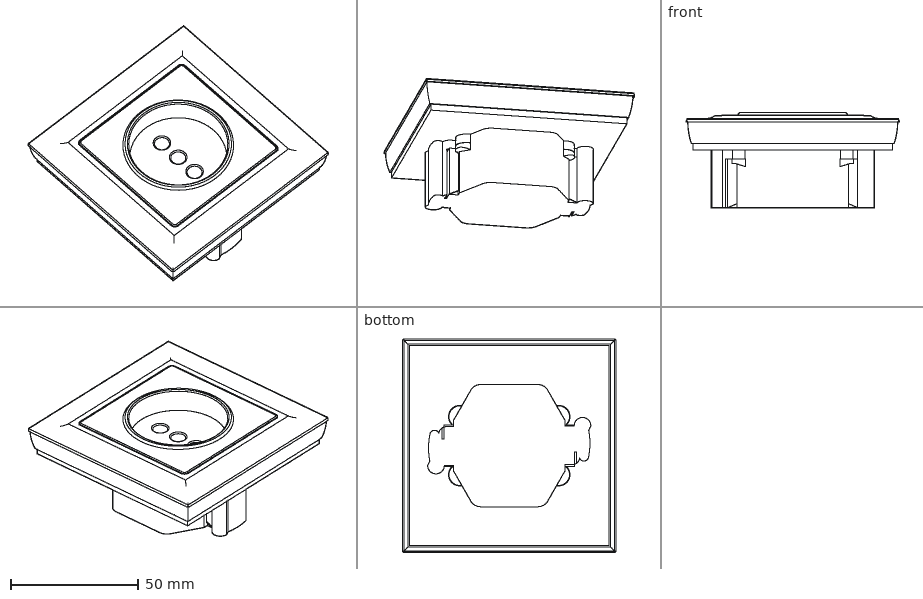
import cadquery as cq
import math

BODY_TOP = 22.8
BASE_TOP = 25.3
LIP_BOTTOM = 33.8
FRAME_TOP = 35.2
COVE_TOP = 36.3
INSERT_TOP = 36.7
RIM_TOP = 37.6
WELL_FLOOR = 28.4

LIP_HALF = 42.05
LIP_SIDE_HALF = 41.7
LIP_ROUND = 0.5
LIP_CORNER_RADIUS = 0.8
FLANK_TOP_HALF = 41.4
FLANK_BOTTOM_HALF = 39.95
FLANK_BULGE = 0.3
BASE_HALF = 39.4
COVE_FOOT_HALF = 33.6
COVE_HEAD_HALF = 30.7
COVE_SAG = 0.25

OPENING_HALF = 28.3
OPENING_RADIUS = 2.0
INSERT_GAP = 0.3
GAP_DEPTH = 1.3
INSERT_EDGE = 0.5

RIM_RADIUS = 21.8
RIM_CREST_OUTER = 20.9
RIM_CREST_INNER = 20.0
WELL_MOUTH_RADIUS = 19.5
WELL_FLOOR_RADIUS = 19.1
WELL_LEAD_IN = 0.5
CONTACT_PITCH = 9.4
CONTACT_RADIUS = 3.45
CONTACT_DEPTH = 0.5

CORE_HALF_Y = 24.05
CORE_FLAT_HALF = 13.9
CORE_HALF_X = 22.0
CORE_SIDE_HALF_Y = 9.75
CORE_FILLET = 4.45
WING_TIP = 31.3
WING_CROWN = 31.8
WING_HALF_Y = 6.05
WING_END_RADIUS = 1.85
SHOULDER_X = 24.7
SHOULDER_HALF_Y = 7.5
SHOULDER_RADIUS = 3.0
LOBE_TIP = 32.1
LOBE_RADIUS = 3.3
LOBE_CENTER_Y = 7.8

CLIP_INNER = 21.5
CLIP_OUTER = 25.7
CLIP_HALF_Y = 8.15
CLIP_TOP = 19.2
CLIP_CUT = 1.85
CLIP_SLOT_WIDTH = 0.7
CLIP_SLOT_END_Y = 2.5
POST_X = 19.5
POST_Y = 11.4
POST_RADIUS = 4.2
CLAW_RADIUS = 4.4
CLAW_OUTER_Z = 17.5
CLAW_SLOPE_X = 22.6
CLAW_INNER_X = 18.5
CLAW_INNER_Z = 16.2


def slab(half_x, half_y, bottom, top):
    """Block centred on Z between two heights."""
    block = cq.Workplane("XY").workplane(offset=bottom)
    return block.rect(2 * half_x, 2 * half_y).extrude(top - bottom)


def arc_middle(start, end, sag):
    """Middle of the arc from start to end, offset by sag to the left of the chord."""
    dx = end[0] - start[0]
    dy = end[1] - start[1]
    chord = math.hypot(dx, dy)
    return ((start[0] + end[0]) / 2 - sag * dy / chord, (start[1] + end[1]) / 2 + sag * dx / chord)


def mitred(outline):
    """Square moulding with mitred corners; outline(plane) draws its half section from Z outwards."""
    bars = []
    for plane in ("XZ", "YZ"):
        half = outline(plane).close().extrude(LIP_HALF, both=True)
        bars.append(half.union(half.rotate((0, 0, 0), (0, 0, 1), 180)))
    return bars[0].intersect(bars[1])


def frame_outline(plane):
    """Half section of the frame: base, bulged flank and overhanging lip."""
    flank_bottom = (FLANK_BOTTOM_HALF, BASE_TOP)
    flank_top = (FLANK_TOP_HALF, LIP_BOTTOM)
    lip_edge = (LIP_SIDE_HALF, FRAME_TOP - LIP_ROUND)
    return (
        cq.Workplane(plane)
        .moveTo(0, BODY_TOP)
        .lineTo(BASE_HALF, BODY_TOP)
        .lineTo(BASE_HALF, BASE_TOP)
        .lineTo(*flank_bottom)
        .threePointArc(arc_middle(flank_bottom, flank_top, -FLANK_BULGE), flank_top)
        .lineTo(LIP_HALF, LIP_BOTTOM)
        .lineTo(*lip_edge)
        .radiusArc((LIP_SIDE_HALF - LIP_ROUND, FRAME_TOP), -LIP_ROUND)
        .lineTo(0, FRAME_TOP)
    )


def cove_outline(plane):
    """Half section of the raised panel with its coved edge."""
    cove_foot = (COVE_FOOT_HALF, FRAME_TOP)
    cove_head = (COVE_HEAD_HALF, COVE_TOP)
    return (
        cq.Workplane(plane)
        .moveTo(0, BASE_TOP)
        .lineTo(COVE_FOOT_HALF, BASE_TOP)
        .lineTo(*cove_foot)
        .threePointArc(arc_middle(cove_foot, cove_head, COVE_SAG), cove_head)
        .lineTo(0, COVE_TOP)
    )


def make_frame():
    """Frame with a coved panel on top and slightly rounded lip corners."""
    envelope = slab(LIP_HALF, LIP_HALF, BODY_TOP, RIM_TOP).edges("|Z").fillet(LIP_CORNER_RADIUS)
    return mitred(frame_outline).intersect(envelope).union(mitred(cove_outline))


def make_insert():
    """Insert plate with softened upper edges."""
    half = OPENING_HALF - INSERT_GAP
    plate = slab(half, half, BODY_TOP, INSERT_TOP).edges("|Z").fillet(OPENING_RADIUS - INSERT_GAP)
    return plate.faces(">Z").edges().chamfer(INSERT_TOP - COVE_TOP, INSERT_EDGE)


def make_opening():
    """Frame recess that leaves a narrow gap around the insert plate."""
    opening = slab(OPENING_HALF, OPENING_HALF, COVE_TOP - GAP_DEPTH, RIM_TOP)
    return opening.edges("|Z").fillet(OPENING_RADIUS)


def make_rim():
    """Raised ring around the well, still filled in."""
    rim = cq.Workplane("XY").workplane(offset=BODY_TOP).circle(RIM_RADIUS).extrude(RIM_TOP - BODY_TOP)
    return rim.faces(">Z").edges().chamfer(RIM_TOP - INSERT_TOP, RIM_RADIUS - RIM_CREST_OUTER)


def make_well():
    """Tapered plug well with a flared mouth and three shallow dished contact recesses."""
    well = (
        cq.Workplane("XZ")
        .moveTo(0, WELL_FLOOR)
        .lineTo(WELL_FLOOR_RADIUS, WELL_FLOOR)
        .lineTo(WELL_MOUTH_RADIUS, RIM_TOP - WELL_LEAD_IN)
        .lineTo(RIM_CREST_INNER, RIM_TOP)
        .lineTo(0, RIM_TOP)
        .close()
        .revolve(360, (0, 0, 0), (0, 1, 0))
    )
    contacts = (
        cq.Workplane("XY")
        .workplane(offset=WELL_FLOOR)
        .pushPoints([(step * CONTACT_PITCH, 0) for step in (-1, 0, 1)])
        .circle(CONTACT_RADIUS)
        .extrude(-CONTACT_DEPTH, taper=45)
    )
    return well.union(contacts)


def make_core():
    """Eight-sided central housing with rounded outer corners."""
    corners = [
        (CORE_FLAT_HALF, CORE_HALF_Y),
        (CORE_HALF_X, CORE_SIDE_HALF_Y),
        (CORE_HALF_X, -CORE_SIDE_HALF_Y),
        (CORE_FLAT_HALF, -CORE_HALF_Y),
    ]
    mirrored = [(-x, y) for x, y in reversed(corners)]
    core = cq.Workplane("XY").polyline(corners + mirrored).close().extrude(BODY_TOP)
    for end_face in ("<Y", ">Y"):
        core = core.faces(end_face).edges("|Z").fillet(CORE_FILLET)
    return core


def make_wing():
    """Wing on the -X side: crowned tip, rounded end towards -Y and a round lobe towards +Y."""
    crown_start_y = WING_END_RADIUS - WING_HALF_Y
    lobe_inner_x = 2 * LOBE_RADIUS - LOBE_TIP
    return (
        cq.Workplane("XY")
        .moveTo(0, crown_start_y)
        .lineTo(2 * WING_END_RADIUS - WING_TIP, crown_start_y)
        .radiusArc((-WING_TIP, crown_start_y), WING_END_RADIUS)
        .threePointArc((-WING_CROWN, (crown_start_y + WING_HALF_Y) / 2), (-WING_TIP, WING_HALF_Y))
        .lineTo(-LOBE_TIP, LOBE_CENTER_Y)
        .radiusArc((lobe_inner_x, LOBE_CENTER_Y), LOBE_RADIUS)
        .lineTo(0, LOBE_CENTER_Y)
        .close()
        .extrude(BODY_TOP)
    )


def make_shoulders():
    """Round-cornered block that fills the corners between the core and the wings."""
    half_x = SHOULDER_X + SHOULDER_RADIUS
    return slab(half_x, SHOULDER_HALF_Y, 0, BODY_TOP).edges("|Z").fillet(SHOULDER_RADIUS)


def make_clip():
    """Clip plate standing proud of the shoulder's -Y wall, its lower inner corner cut off."""
    return (
        cq.Workplane("XZ")
        .moveTo(-CLIP_OUTER, 0)
        .lineTo(-CLIP_OUTER, CLIP_TOP)
        .lineTo(-CLIP_INNER, CLIP_TOP)
        .lineTo(-CLIP_INNER, CLIP_CUT)
        .close()
        .extrude(CLIP_HALF_Y)
    )


def make_clip_slot():
    """Narrow slot that frees the outer side of the clip plate from the shoulder."""
    return (
        cq.Workplane("XY")
        .moveTo(-CLIP_OUTER, -CLIP_SLOT_END_Y)
        .lineTo(-CLIP_OUTER, -CLIP_HALF_Y)
        .lineTo(-CLIP_OUTER - CLIP_SLOT_WIDTH, -CLIP_HALF_Y)
        .lineTo(-CLIP_OUTER - CLIP_SLOT_WIDTH, -CLIP_SLOT_END_Y)
        .close()
        .extrude(CLIP_TOP)
    )


def make_post():
    """Round post against the core's slanted wall, ending in a wider claw with a sloping underside."""
    center = cq.Workplane("XY").center(-POST_X, -POST_Y)
    post = center.circle(POST_RADIUS).extrude(BODY_TOP)
    claw = center.circle(CLAW_RADIUS).extrude(CLIP_TOP)
    slope_end = -POST_X + CLAW_RADIUS
    slope = (CLAW_INNER_Z - CLAW_OUTER_Z) / (CLAW_SLOPE_X - CLAW_INNER_X)
    below_claw = (
        cq.Workplane("XZ")
        .moveTo(-LIP_HALF, 0)
        .lineTo(-LIP_HALF, CLAW_OUTER_Z)
        .lineTo(-CLAW_SLOPE_X, CLAW_OUTER_Z)
        .lineTo(slope_end, CLAW_OUTER_Z + slope * (slope_end + CLAW_SLOPE_X))
        .lineTo(slope_end, 0)
        .close()
        .extrude(LIP_HALF)
    )
    return post.union(claw).cut(below_claw)


def make_rear_body():
    """Core and shoulders, two slotted wings a half turn apart, and a clip plate and post per quadrant."""
    body = make_core().union(make_shoulders())
    wing = make_wing()
    slot = make_clip_slot()
    for turn in (0, 180):
        body = body.union(wing.rotate((0, 0, 0), (0, 0, 1), turn))
        body = body.cut(slot.rotate((0, 0, 0), (0, 0, 1), turn))
    near_left = make_clip().union(make_post())
    near_pair = near_left.union(near_left.mirror("YZ"))
    return body.union(near_pair).union(near_pair.mirror("XZ"))


result = (
    make_frame()
    .cut(make_opening())
    .union(make_insert())
    .union(make_rim())
    .cut(make_well())
    .union(make_rear_body())
)